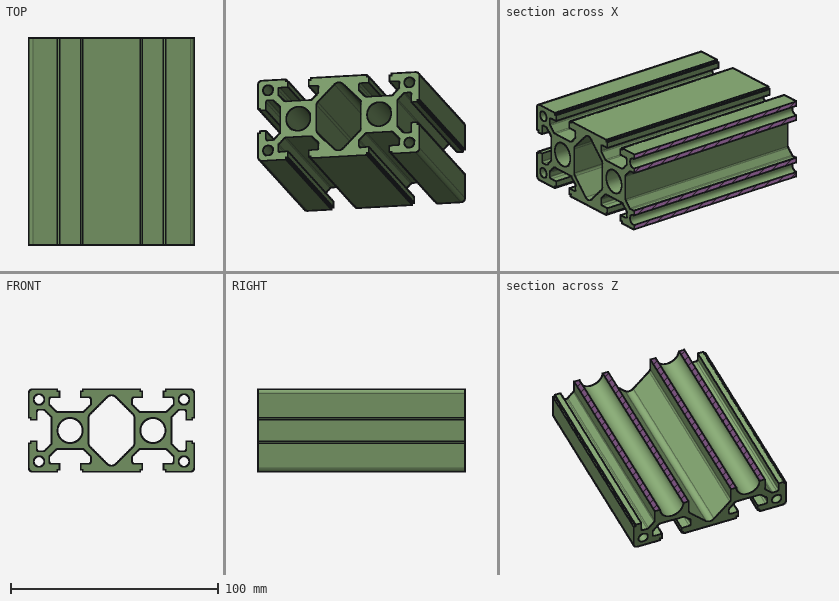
import cadquery as cq

module = 40.0
width = 2 * module
height = module
length = 100.0
corner_radius = 2.0

slot_half_width = 5.1
step_half_width = 6.1
step_depth = 1.0
lip_underside_depth = 4.0
pocket_half_width = 10.0
pocket_fillet = 0.9
floor_fillet = 1.0

core_half_width = 9.0
slot_web_offset = 2.5

core_bore_diameter = 12.0
corner_bore_diameter = 5.0
corner_bore_inset = 5.0

cavity_web_offset = 1.8
cavity_tip_radius = 3.0
cavity_wall_fillet = 2.0

half_module = module / 2
cell_centers = [-half_module, half_module]


def prism(outline):
    """Extrude a closed XZ outline along the full length, centred on Y."""
    return outline.extrude(length / 2, both=True)


def make_blank():
    """Solid bar with its four long outer edges rounded."""
    blank = cq.Workplane("XY").box(width, length, height)
    return blank.edges("|Y").fillet(corner_radius)


def make_slot():
    """T-slot cutter that opens upward, with the centre of its cell on the origin."""
    step_floor = half_module - step_depth
    lip_underside = half_module - lip_underside_depth
    web_top = pocket_half_width + slot_web_offset
    floor_half_width = core_half_width - slot_web_offset
    right_side = [
        (floor_half_width, core_half_width),
        (pocket_half_width, web_top),
        (pocket_half_width, lip_underside),
        (slot_half_width, lip_underside),
        (slot_half_width, step_floor),
        (step_half_width, step_floor),
        (step_half_width, half_module),
    ]
    left_side = [(-x, z) for x, z in reversed(right_side)]
    slot = prism(cq.Workplane("XZ").polyline(right_side + left_side).close())
    pocket_sides = slot.faces("<X or >X")
    slot = pocket_sides.edges("|Y").fillet(pocket_fillet)
    return slot.faces("<Z").edges("|Y").fillet(floor_fillet)


def make_cavity():
    """Hexagonal cavity between the cores, with all six corners rounded."""
    wall_x = half_module - core_half_width
    wall_half_height = core_half_width - cavity_web_offset
    tip_z = half_module - cavity_web_offset
    outline = [
        (0, tip_z),
        (wall_x, wall_half_height),
        (wall_x, -wall_half_height),
        (0, -tip_z),
        (-wall_x, -wall_half_height),
        (-wall_x, wall_half_height),
    ]
    cavity = prism(cq.Workplane("XZ").polyline(outline).close())
    cavity = cavity.faces("<X or >X").edges("|Y").fillet(cavity_wall_fillet)
    return cavity.edges("<Z or >Z").fillet(cavity_tip_radius)


def make_bores():
    """Large bore through each core and a small bore in each outer corner."""
    core_bores = cq.Workplane("XZ").pushPoints([(x, 0) for x in cell_centers])
    core_bores = prism(core_bores.circle(core_bore_diameter / 2))
    corner_bores = cq.Workplane("XZ").rect(
        width - 2 * corner_bore_inset, height - 2 * corner_bore_inset, forConstruction=True
    )
    corner_bores = prism(corner_bores.vertices().circle(corner_bore_diameter / 2))
    return core_bores.union(corner_bores)


def turned(body, angle):
    """Rotate a body about the Y axis."""
    return body.rotate((0, 0, 0), (0, 1, 0), angle)


result = make_blank()
slot = make_slot()

for center_x in cell_centers:
    outward_angle = 90 if center_x > 0 else -90
    for angle in (0, 180, outward_angle):
        result = result.cut(turned(slot, angle).translate((center_x, 0, 0)))

result = result.cut(make_cavity()).cut(make_bores())